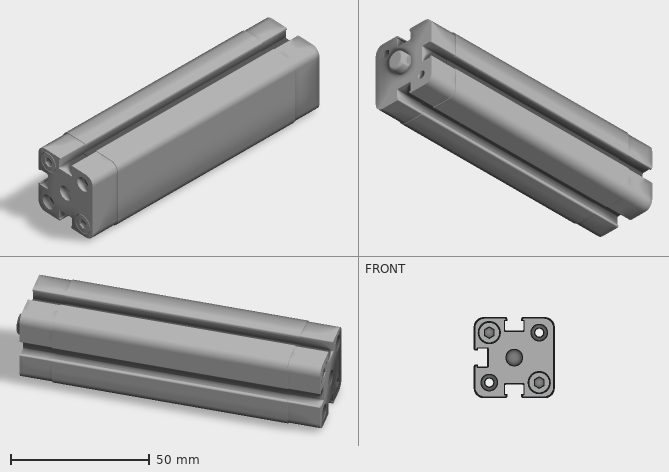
import cadquery as cq
import math

total_length = 117.5
cap_length = 12.3
rod_length = 4.3
tube_length = total_length - 2 * cap_length - rod_length
front_face_y = -total_length / 2
tube_start_y = front_face_y + cap_length
rear_cap_y = tube_start_y + tube_length
rear_face_y = rear_cap_y + cap_length

tube_width = 29.0
cap_inset = 0.2
cap_width = tube_width - 2 * cap_inset
corner_radius = 3.5

slot_width = 6.9
slot_floor_radius = 0.4
lip_underside = 13.4
tube_slot_floor = 9.6
cap_slot_floor = tube_slot_floor - cap_inset
tube_mouth_width = 5.4
tube_lip_radius = 0.6
cap_mouth_width = 5.9
cap_lip_radius = 0.4
slot_angles = (0, 90, 180)

hole_offset = 9.0
through_diameter = 3.3
counterbore_diameter = 6.0
counterbore_depth = 3.3
center_hole_depth = 3.8
screw_recess_diameter = 8.0
screw_head_diameter = 7.5
screw_head_height = 4.0
hex_corner_diameter = 4.1
hex_depth = 2.0

rod_diameter = 8.0
rod_flats_width = 6.0
flat_ramp_length = 0.8
rod_tip_radius = 1.2


def plane_at(y):
    """Plane across the axis at y, with local x along -X, local y along Z and normal along +Y."""
    return cq.Plane(origin=(0, y, 0), xDir=(-1, 0, 0), normal=(0, 1, 0))


def slot_cutter(y, length, half_width, mouth_width, floor, lip_radius):
    """T-slot on the top side, with rounded floor corners and rounded outer lip corners."""
    mouth = mouth_width / 2
    wall = slot_width / 2
    flare = mouth + lip_radius
    arc_x = flare - lip_radius * math.sqrt(0.5)
    arc_z = half_width - lip_radius + lip_radius * math.sqrt(0.5)
    cutter = (
        cq.Workplane(plane_at(y))
        .moveTo(-wall, floor)
        .lineTo(wall, floor)
        .lineTo(wall, lip_underside)
        .lineTo(mouth, lip_underside)
        .lineTo(mouth, half_width - lip_radius)
        .threePointArc((arc_x, arc_z), (flare, half_width))
        .lineTo(-flare, half_width)
        .threePointArc((-arc_x, arc_z), (-mouth, half_width - lip_radius))
        .lineTo(-mouth, lip_underside)
        .lineTo(-wall, lip_underside)
        .close()
        .extrude(length)
    )
    return cutter.faces("<Z").edges("|Y").fillet(slot_floor_radius)


def slotted_bar(y, length, width, mouth_width, floor, lip_radius):
    """Rounded square bar with a T-slot on three sides."""
    bar = cq.Workplane(plane_at(y)).rect(width, width).extrude(length)
    bar = bar.edges("|Y").fillet(corner_radius)
    cutter = slot_cutter(y, length, width / 2, mouth_width, floor, lip_radius)
    for angle in slot_angles:
        bar = bar.cut(cutter.rotate((0, 0, 0), (0, -1, 0), angle))
    return bar


def cap(y):
    return slotted_bar(y, cap_length, cap_width, cap_mouth_width, cap_slot_floor, cap_lip_radius)


def front_cylinder(x, z, diameter, depth):
    """Cylinder going inward from the front face."""
    axis = cq.Vector(0, 1, 0)
    return cq.Workplane(cq.Solid.makeCylinder(diameter / 2, depth, cq.Vector(x, front_face_y, z), axis))


def add_through_hole(body, x, z):
    body = body.cut(front_cylinder(x, z, through_diameter, total_length))
    return body.cut(front_cylinder(x, z, counterbore_diameter, counterbore_depth))


def add_screw(body, x, z):
    """Socket head screw seated flush in a slightly larger recess."""
    recess = front_cylinder(x, z, screw_recess_diameter, screw_head_height)
    head = front_cylinder(x, z, screw_head_diameter, screw_head_height)
    socket = (
        cq.Workplane(plane_at(front_face_y))
        .center(-x, z)
        .transformed(rotate=(0, 0, 90))
        .polygon(6, hex_corner_diameter)
        .extrude(hex_depth)
    )
    return body.cut(recess.cut(head)).cut(socket)


def rod_end():
    """Rounded rod end with two flats that ramp out at 45 degrees to the rear face."""
    radius = rod_diameter / 2
    rod = cq.Workplane(plane_at(rear_face_y)).circle(radius).extrude(rod_length)
    rod = rod.faces(">Y").edges().fillet(rod_tip_radius)
    half_flats = rod_flats_width / 2
    half_base = half_flats + flat_ramp_length
    envelope = (
        cq.Workplane("XY")
        .polyline([
            (-half_base, rear_face_y),
            (half_base, rear_face_y),
            (half_flats, rear_face_y + flat_ramp_length),
            (half_flats, rear_face_y + rod_length),
            (-half_flats, rear_face_y + rod_length),
            (-half_flats, rear_face_y + flat_ramp_length),
        ])
        .close()
        .extrude(radius, both=True)
    )
    return rod.intersect(envelope)


tube = slotted_bar(
    tube_start_y, tube_length, tube_width, tube_mouth_width, tube_slot_floor, tube_lip_radius
)
result = tube.union(cap(front_face_y)).union(cap(rear_cap_y)).union(rod_end())
for side in (-1, 1):
    result = add_through_hole(result, side * hole_offset, side * hole_offset)
    result = add_screw(result, side * hole_offset, -side * hole_offset)
result = result.cut(front_cylinder(0, 0, counterbore_diameter, center_hole_depth))